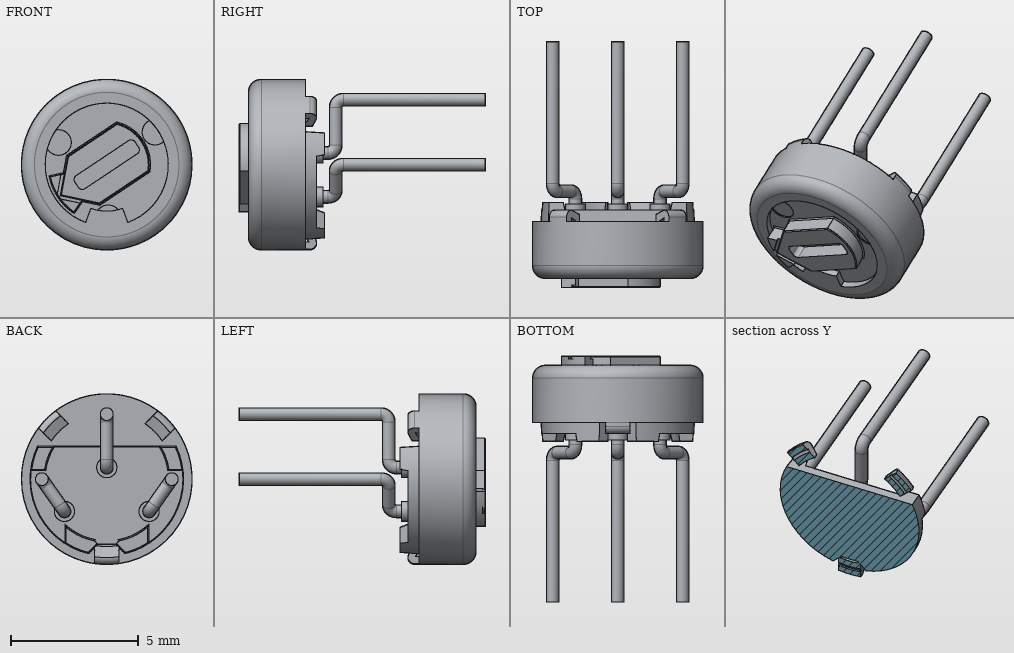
import cadquery as cq
import math


HOUSING_RADIUS = 3.34
HOUSING_DEPTH = 2.24
RIM_FILLET = 0.51
RECESS_RADIUS = 2.41
RECESS_DEPTH = 0.27

STOP_INNER_RADIUS = 1.82
STOP_HALF_ANGLE = 20

DIMPLE_RADIUS = 0.5
DIMPLE_DEPTH = 0.06
DIMPLE_CENTERS = [(-1.89, 0.87), (1.89, 1.27), (0.06, -2.08)]

KNOB_ANGLE = 33.7
KNOB_HEIGHT = 0.36
KNOB_HALF_WIDTH = 1.13
KNOB_ROUND_RADIUS = 1.67
KNOB_SHOULDER = 1.09
KNOB_TIP = 2.19
KNOB_CHAMFER = 0.04
SKIRT_WIDTH = 0.05
SKIRT_ANGLE = 45
SLOT_LENGTH = 2.83
SLOT_WIDTH = 0.62
SLOT_CORNER = 0.18
SLOT_DEPTH = 0.58

POINTER_RADIUS = 2.25
POINTER_HALF_ANGLE = 21.5
GROOVE_WIDTH = 0.13
GROOVE_DEPTH = 0.11

TAB_ANGLES = [45, 135, 270]
TAB_WIDTH = 0.95
TAB_HEIGHT = 0.43
TAB_BEND = 0.27
TAB_INNER_RADIUS = 2.64
TAB_INNER_HEIGHT = 0.27
TAB_GAP_INNER = 2.82
TAB_GAP_OUTER = 3.06
TAB_GAP_HEIGHT = 0.135

BASE_RADIUS = 3.0
BASE_HEIGHT = 0.43
BASE_TOP_FLAT = 1.29
FOOT_HEIGHT = 0.74
BASE_DRAFT = 3.5
NOTCH_HALF_WIDTH = 0.36
NOTCH_TOP = -2.56
FOOT_INNER_RADIUS = 2.47
FOOT_DRAFT = 10
UPPER_FOOT_BOTTOM = 0.39
LOWER_FOOT_SIDE = 1.59
FOOT_GAP_HALF_WIDTH = 0.5
FOOT_GAP_TOP = -2.37

LEAD_RADIUS = 0.25
LEAD_BEND_RADIUS = 0.31
LEAD_JOG = 3.42
OVERALL_LENGTH = 9.63
LEAD_END = OVERALL_LENGTH - KNOB_HEIGHT
COLLAR_RADIUS = 0.395
COLLAR_HEIGHT = 0.25
LEAD_PITCH = 2.54
LEADS = [
    ((-1.66, -1.26), (-LEAD_PITCH, 0)),
    ((1.66, -1.26), (LEAD_PITCH, 0)),
    ((0, 0.45), (0, LEAD_PITCH)),
]

BASE_BACK = HOUSING_DEPTH + BASE_HEIGHT
FOOT_END = HOUSING_DEPTH + FOOT_HEIGHT


def facing_front(y):
    """Sketch plane with X right and Z up; extruding goes toward -Y."""
    return cq.Workplane("XZ", origin=(0, y, 0))


def polar(radius, degrees):
    angle = math.radians(degrees)
    return radius * math.cos(angle), radius * math.sin(angle)


def arc_middle_inset(radius):
    """Inset of a quarter arc's midpoint from each of the two sides it rounds."""
    return radius * (1 - math.sqrt(0.5))


def ring_sector(plane, inner, outer, center_angle, half_angle):
    start, end = center_angle - half_angle, center_angle + half_angle
    return (
        plane.moveTo(*polar(inner, start))
        .lineTo(*polar(outer, start))
        .threePointArc(polar(outer, center_angle), polar(outer, end))
        .lineTo(*polar(inner, end))
        .threePointArc(polar(inner, center_angle), polar(inner, start))
        .close()
    )


def recess_space(y, depth):
    """Round space of the recess less the stop tooth, reaching forward from y by depth."""
    space = facing_front(y).circle(RECESS_RADIUS).extrude(depth)
    stop = ring_sector(
        facing_front(y), STOP_INNER_RADIUS, HOUSING_RADIUS, 270, STOP_HALF_ANGLE
    ).extrude(depth)
    return space.cut(stop)


def make_housing():
    housing = facing_front(HOUSING_DEPTH).circle(HOUSING_RADIUS).extrude(HOUSING_DEPTH)
    housing = housing.faces("<Y").edges().fillet(RIM_FILLET)
    dimple_floor = RECESS_DEPTH + DIMPLE_DEPTH
    dimples = (
        facing_front(dimple_floor)
        .pushPoints(DIMPLE_CENTERS)
        .circle(DIMPLE_RADIUS)
        .extrude(DIMPLE_DEPTH)
        .intersect(recess_space(dimple_floor, DIMPLE_DEPTH))
    )
    return housing.cut(recess_space(RECESS_DEPTH, RECESS_DEPTH)).cut(dimples)


def knob_outline(y):
    """Arrow outline pointing to -X, before it is turned to the knob angle."""
    round_start = math.sqrt(KNOB_ROUND_RADIUS**2 - KNOB_HALF_WIDTH**2)
    return (
        facing_front(y)
        .moveTo(-KNOB_TIP, 0)
        .lineTo(-KNOB_SHOULDER, -KNOB_HALF_WIDTH)
        .lineTo(round_start, -KNOB_HALF_WIDTH)
        .threePointArc((KNOB_ROUND_RADIUS, 0), (round_start, KNOB_HALF_WIDTH))
        .lineTo(-KNOB_SHOULDER, KNOB_HALF_WIDTH)
        .close()
    )


def pointer_outline(y):
    return ring_sector(facing_front(y), KNOB_SHOULDER, POINTER_RADIUS, 180, POINTER_HALF_ANGLE)


def flared_skirt(outline):
    """Sloped skirt that widens an outline where it meets the recess floor."""
    return outline.offset2D(SKIRT_WIDTH, "intersection").extrude(SKIRT_WIDTH, taper=SKIRT_ANGLE)


def make_knob():
    rise = RECESS_DEPTH + KNOB_HEIGHT
    pointer = pointer_outline(RECESS_DEPTH).extrude(rise)
    groove = (
        knob_outline(GROOVE_DEPTH - KNOB_HEIGHT)
        .offset2D(GROOVE_WIDTH, "intersection")
        .extrude(GROOVE_DEPTH)
    )
    knob = knob_outline(RECESS_DEPTH).extrude(rise).faces("<Y").edges().chamfer(KNOB_CHAMFER)
    knob = knob.union(pointer.cut(groove))
    knob = knob.union(flared_skirt(knob_outline(RECESS_DEPTH)))
    knob = knob.union(flared_skirt(pointer_outline(RECESS_DEPTH)))
    slot = (
        facing_front(SLOT_DEPTH - KNOB_HEIGHT)
        .rect(SLOT_LENGTH, SLOT_WIDTH)
        .extrude(SLOT_DEPTH)
        .edges("|Y")
        .fillet(SLOT_CORNER)
    )
    return knob.cut(slot).rotate((0, 0, 0), (0, 1, 0), -KNOB_ANGLE)


def make_tab(angle):
    """Slice with parallel sides of a folded-over ring, turned to the given angle."""
    bend_middle = arc_middle_inset(TAB_BEND)
    ring = (
        cq.Workplane("XY", origin=(0, HOUSING_DEPTH, 0))
        .moveTo(HOUSING_RADIUS, 0)
        .lineTo(HOUSING_RADIUS, TAB_HEIGHT - TAB_BEND)
        .threePointArc(
            (HOUSING_RADIUS - bend_middle, TAB_HEIGHT - bend_middle),
            (HOUSING_RADIUS - TAB_BEND, TAB_HEIGHT),
        )
        .lineTo(TAB_INNER_RADIUS, TAB_INNER_HEIGHT)
        .lineTo(TAB_INNER_RADIUS, 0)
        .lineTo(TAB_GAP_INNER, 0)
        .lineTo(TAB_GAP_OUTER, TAB_GAP_HEIGHT)
        .lineTo(TAB_GAP_OUTER, 0)
        .close()
        .revolve(360, (0, 0, 0), (0, 1, 0))
    )
    slice_width = (
        facing_front(HOUSING_DEPTH + TAB_HEIGHT)
        .center(HOUSING_RADIUS / 2, 0)
        .rect(HOUSING_RADIUS, TAB_WIDTH)
        .extrude(TAB_HEIGHT)
    )
    return ring.intersect(slice_width).rotate((0, 0, 0), (0, 1, 0), -angle)


def make_base():
    """Drafted plate carrying four feet, notched at the bottom around the lowest tab."""
    flat_half_width = math.sqrt(BASE_RADIUS**2 - BASE_TOP_FLAT**2)
    flank_offset = -NOTCH_TOP - NOTCH_HALF_WIDTH
    notch_x = (math.sqrt(2 * BASE_RADIUS**2 - flank_offset**2) - flank_offset) / 2
    notch_z = -(notch_x + flank_offset)
    base = (
        facing_front(HOUSING_DEPTH)
        .transformed(rotate=(0, 180, 0))
        .moveTo(-flat_half_width, BASE_TOP_FLAT)
        .lineTo(flat_half_width, BASE_TOP_FLAT)
        .threePointArc((BASE_RADIUS, 0), (notch_x, notch_z))
        .lineTo(NOTCH_HALF_WIDTH, NOTCH_TOP)
        .lineTo(-NOTCH_HALF_WIDTH, NOTCH_TOP)
        .lineTo(-notch_x, notch_z)
        .threePointArc((-BASE_RADIUS, 0), (-flat_half_width, BASE_TOP_FLAT))
        .close()
        .extrude(FOOT_HEIGHT, taper=BASE_DRAFT)
    )
    clearance = FOOT_HEIGHT - BASE_HEIGHT
    center = facing_front(FOOT_END).circle(FOOT_INNER_RADIUS).extrude(clearance, taper=FOOT_DRAFT)
    side = (
        facing_front(FOOT_END)
        .moveTo(-LOWER_FOOT_SIDE, UPPER_FOOT_BOTTOM)
        .lineTo(-2 * BASE_RADIUS, UPPER_FOOT_BOTTOM)
        .lineTo(-2 * BASE_RADIUS, -2 * BASE_RADIUS)
        .lineTo(-LOWER_FOOT_SIDE, -2 * BASE_RADIUS)
        .close()
        .extrude(clearance, taper=FOOT_DRAFT)
    )
    gap = (
        facing_front(FOOT_END)
        .moveTo(-FOOT_GAP_HALF_WIDTH, FOOT_GAP_TOP)
        .lineTo(-NOTCH_HALF_WIDTH, NOTCH_TOP)
        .lineTo(NOTCH_HALF_WIDTH, NOTCH_TOP)
        .lineTo(FOOT_GAP_HALF_WIDTH, FOOT_GAP_TOP)
        .close()
        .extrude(clearance)
    )
    return base.cut(center).cut(side).cut(side.mirror("YZ")).cut(gap)


def make_lead(start, finish):
    """Lead leaving a collar, jogging sideways to its finish position and running straight back."""
    run = math.dist(start, finish)
    heading = math.degrees(math.atan2(finish[1] - start[1], finish[0] - start[0]))
    bend = LEAD_BEND_RADIUS
    bend_middle = arc_middle_inset(bend)
    path = (
        cq.Workplane("XY")
        .moveTo(0, BASE_BACK)
        .lineTo(0, LEAD_JOG - bend)
        .threePointArc((bend_middle, LEAD_JOG - bend_middle), (bend, LEAD_JOG))
        .lineTo(run - bend, LEAD_JOG)
        .threePointArc((run - bend_middle, LEAD_JOG + bend_middle), (run, LEAD_JOG + bend))
        .lineTo(run, LEAD_END)
    )
    lead = facing_front(BASE_BACK).circle(LEAD_RADIUS).sweep(path)
    collar = facing_front(BASE_BACK + COLLAR_HEIGHT).circle(COLLAR_RADIUS).extrude(COLLAR_HEIGHT)
    lead = lead.union(collar).rotate((0, 0, 0), (0, 1, 0), -heading)
    return lead.translate((start[0], 0, start[1]))


result = make_housing().union(make_knob()).union(make_base())
for tab_angle in TAB_ANGLES:
    result = result.union(make_tab(tab_angle))
for lead_start, lead_finish in LEADS:
    result = result.union(make_lead(lead_start, lead_finish))